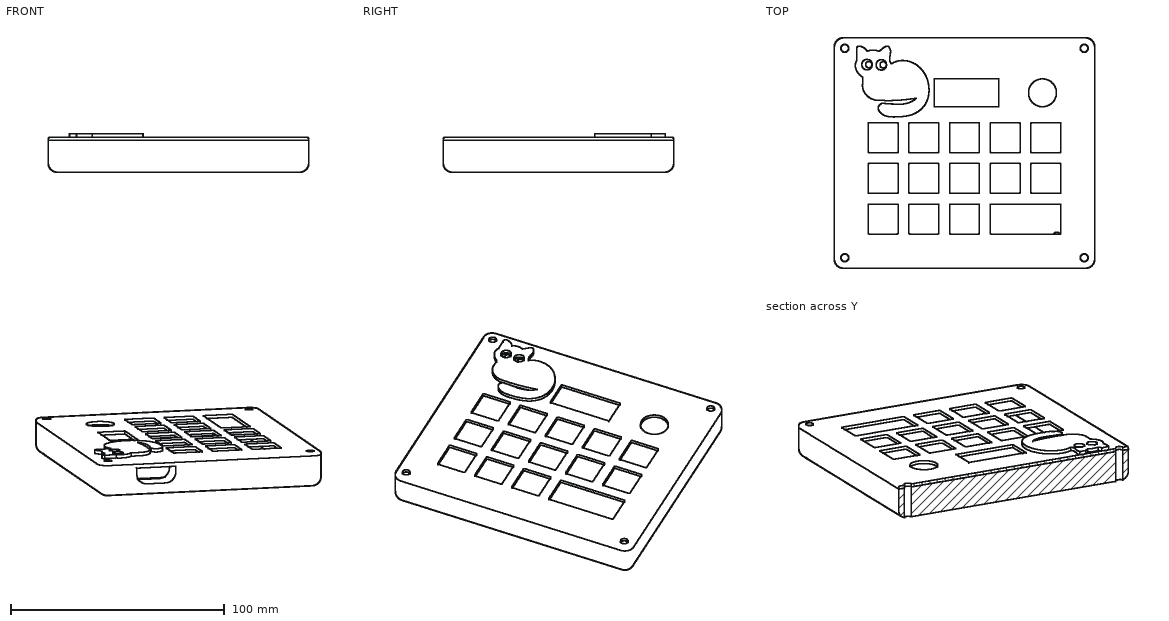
import cadquery as cq

LENGTH = 122.0
WIDTH = 108.0
TOTAL_HEIGHT = 18.0
CORNER_RADIUS = 4.5
BOTTOM_EDGE_RADIUS = 4.4
LID_THICKNESS = 1.5
LID_EDGE_RADIUS = 1.0
CAT_THICKNESS = 1.6
CASE_HEIGHT = TOTAL_HEIGHT - CAT_THICKNESS - LID_THICKNESS
LID_TOP = CASE_HEIGHT + LID_THICKNESS

FLOOR_THICKNESS = 6.0
SIDE_WALL_THICKNESS = 11.6
END_WALL_THICKNESS = 10.0
POCKET_CORNER_RADIUS = 3.0

CORNER_HOLE_DIAMETER = 3.5
CORNER_HOLE_INSET = 5.0
FLOOR_HOLE_DIAMETER = 3.4
FLOOR_HOLE_CENTERS = [(43.2, 38.3), (43.2, -38.8)]

PORT_WIDTH = 18.9
PORT_CENTER_Y = 26.8
PORT_BOTTOM = 5.5
PORT_TOP = 13.2
PORT_CORNER_RADIUS = 5.0

KEY_SIZE = 14.0
KEY_PITCH = 19.0
KEY_CORNER_RADIUS = 0.5
KEY_COLUMNS = 5
KEY_ROWS = 3
TOP_ROW_Y = 7.2

DISPLAY_LENGTH = 30.3
DISPLAY_WIDTH = 13.0
DISPLAY_CENTER = (1.0, 28.2)
KNOB_DIAMETER = 13.0
KNOB_CENTER = (36.5, 28.2)

EYE_DIAMETER = 4.9
EYE_CENTERS = [(-45.6, 41.4), (-38.9, 41.2)]
EYE_WHITE_THICKNESS = 0.7
PUPIL_DIAMETER = 2.9
PUPIL_SHIFT = 0.9


def rounded_block(height):
    return cq.Workplane("XY").rect(LENGTH, WIDTH).extrude(height).edges("|Z").fillet(CORNER_RADIUS)


def corner_holes():
    """Cutter for the four screw holes through the case and the lid."""
    return (
        cq.Workplane("XY")
        .rect(LENGTH - 2 * CORNER_HOLE_INSET, WIDTH - 2 * CORNER_HOLE_INSET, forConstruction=True)
        .vertices()
        .circle(CORNER_HOLE_DIAMETER / 2)
        .extrude(LID_TOP)
    )


def floor_holes():
    return (
        cq.Workplane("XY")
        .pushPoints(FLOOR_HOLE_CENTERS)
        .circle(FLOOR_HOLE_DIAMETER / 2)
        .extrude(FLOOR_THICKNESS)
    )


def port_cutter():
    """Connector opening, running through the -X wall into the pocket."""
    return (
        cq.Workplane("XY")
        .box(SIDE_WALL_THICKNESS, PORT_WIDTH, PORT_TOP - PORT_BOTTOM, centered=(False, True, False))
        .edges("|X and <Z")
        .fillet(PORT_CORNER_RADIUS)
        .translate((-LENGTH / 2, PORT_CENTER_Y, PORT_BOTTOM))
    )


def make_case():
    pocket = (
        cq.Workplane("XY", origin=(0, 0, FLOOR_THICKNESS))
        .rect(LENGTH - 2 * SIDE_WALL_THICKNESS, WIDTH - 2 * END_WALL_THICKNESS)
        .extrude(CASE_HEIGHT - FLOOR_THICKNESS)
        .edges("|Z")
        .fillet(POCKET_CORNER_RADIUS)
    )
    body = rounded_block(CASE_HEIGHT).faces("<Z").edges().fillet(BOTTOM_EDGE_RADIUS)
    return body.cut(pocket).cut(port_cutter()).cut(corner_holes()).cut(floor_holes())


def window(center, length, width):
    return cq.Workplane("XY", origin=(*center, CASE_HEIGHT)).rect(length, width).extrude(LID_THICKNESS)


def key_windows():
    """List of the cutters for all key windows."""
    cutters = []
    for row in range(KEY_ROWS):
        y = TOP_ROW_Y - row * KEY_PITCH
        is_bottom_row = row == KEY_ROWS - 1
        single_keys = KEY_COLUMNS - 2 if is_bottom_row else KEY_COLUMNS
        for column in range(single_keys):
            x = (column - (KEY_COLUMNS - 1) / 2) * KEY_PITCH
            cutters.append(window((x, y), KEY_SIZE, KEY_SIZE))
        if is_bottom_row:
            wide_x = (KEY_COLUMNS / 2 - 1) * KEY_PITCH
            cutters.append(window((wide_x, y), KEY_SIZE + KEY_PITCH, KEY_SIZE))
    return [cutter.edges("|Z").fillet(KEY_CORNER_RADIUS) for cutter in cutters]


def disc(center, diameter, bottom, height):
    return cq.Workplane("XY", origin=(*center, bottom)).circle(diameter / 2).extrude(height)


def make_lid():
    lid = rounded_block(LID_THICKNESS).faces(">Z").edges().fillet(LID_EDGE_RADIUS)
    lid = lid.translate((0, 0, CASE_HEIGHT)).cut(corner_holes())
    for cutter in key_windows():
        lid = lid.cut(cutter)
    lid = lid.cut(window(DISPLAY_CENTER, DISPLAY_LENGTH, DISPLAY_WIDTH))
    lid = lid.cut(disc(KNOB_CENTER, KNOB_DIAMETER, CASE_HEIGHT, LID_THICKNESS))
    for center in EYE_CENTERS:
        lid = lid.cut(disc(center, EYE_DIAMETER, CASE_HEIGHT, LID_THICKNESS))
    return lid


def make_cat():
    """Curled-up cat silhouette on the lid, open at the eyes."""
    cat = (
        cq.Workplane("XY", origin=(0, 0, LID_TOP))
        .moveTo(-50.4, 43.3)
        .lineTo(-50.5, 49.0)
        .spline([(-49.9, 49.9), (-48.1, 49.8), (-45.5, 47.6)], includeCurrent=True)
        .threePointArc((-43.1, 48.2), (-40.1, 47.6))
        .spline([(-37.7, 49.4), (-36.0, 50.0), (-35.1, 49.3)], includeCurrent=True)
        .spline([(-34.6, 46.6), (-35.0, 44.2), (-34.2, 41.7)], includeCurrent=True)
        .spline(
            [(-29.2, 43.3), (-22.8, 41.5), (-18.0, 36.0), (-16.6, 29.9), (-18.4, 22.7),
             (-23.2, 18.5), (-30.0, 17.0), (-34.8, 17.0), (-38.3, 18.0), (-40.4, 20.9), (-38.5, 23.3)],
            includeCurrent=True,
        )
        .spline([(-32.6, 22.8), (-26.4, 23.4), (-22.6, 25.6)], includeCurrent=True)
        .threePointArc((-31.6, 24.6), (-40.7, 24.6))
        .spline([(-44.9, 26.2), (-47.3, 29.4), (-47.7, 32.2)], includeCurrent=True)
        .lineTo(-47.7, 35.5)
        .spline([(-49.2, 36.7), (-50.9, 39.5), (-50.4, 43.3)], includeCurrent=True)
        .close()
        .extrude(CAT_THICKNESS)
    )
    for center in EYE_CENTERS:
        cat = cat.cut(disc(center, EYE_DIAMETER, LID_TOP, CAT_THICKNESS))
    return cat


def make_eye_white(eye_center):
    """Thin disc at the bottom of the eye hole in the lid."""
    return disc(eye_center, EYE_DIAMETER, CASE_HEIGHT, EYE_WHITE_THICKNESS)


def make_pupil(eye_center):
    """Smaller disc standing on the eye white, level with the top of the lid."""
    center = (eye_center[0] + PUPIL_SHIFT, eye_center[1])
    bottom = CASE_HEIGHT + EYE_WHITE_THICKNESS
    return disc(center, PUPIL_DIAMETER, bottom, LID_TOP - bottom)


case = make_case()
lid = make_lid()
cat = make_cat()
eye_whites = [make_eye_white(center) for center in EYE_CENTERS]
pupils = [make_pupil(center) for center in EYE_CENTERS]

result = cq.Compound.makeCompound(
    [case.val(), lid.val(), cat.val()]
    + [eye_white.val() for eye_white in eye_whites]
    + [pupil.val() for pupil in pupils]
)